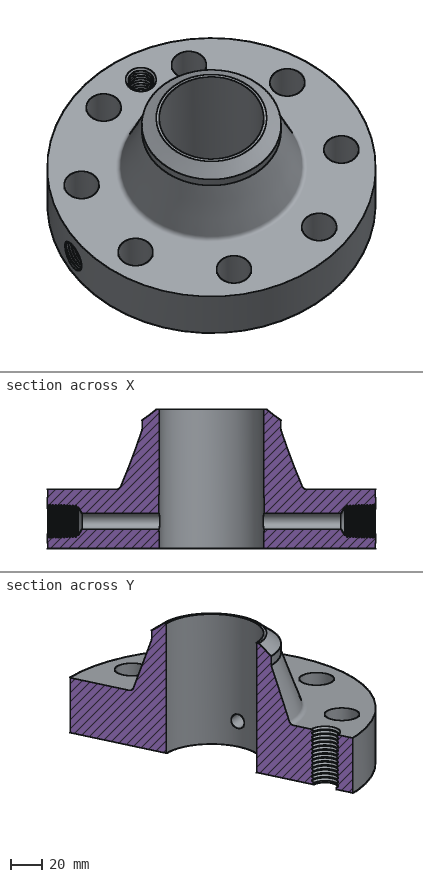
import cadquery as cq
import math

flange_diameter = 209.5
flange_thickness = 38.0

overall_height = 88.8
bore_diameter = 66.6
hub_base_diameter = 117.3
weld_end_diameter = 88.8
land_width = 1.9
bevel_height = 7.0
weld_collar_height = 6.3
hub_fillet_radius = 3.4

bolt_count = 8
bolt_circle_diameter = 168.0
bolt_hole_diameter = 22.2

jack_screw_diameter = 19.5
jack_screw_pitch = 2.7
jack_thread_depth = 1.5

tap_height = 17.4
tap_diameter = 21.4
tap_pitch = 1.82
tap_thread_depth = 1.36
tap_length = 20.0
tap_taper = 1 / 16
drill_point_angle = 118.0
passage_diameter = 9.6

flange_radius = flange_diameter / 2
bore_radius = bore_diameter / 2


def flange_blank():
    """Revolve the plate and hub about Z, with the bore open."""
    weld_end_radius = weld_end_diameter / 2
    bevel_start = overall_height - bevel_height
    blank = (
        cq.Workplane("XZ")
        .moveTo(bore_radius, 0)
        .lineTo(flange_radius, 0)
        .lineTo(flange_radius, flange_thickness)
        .lineTo(hub_base_diameter / 2, flange_thickness)
        .lineTo(weld_end_radius, bevel_start - weld_collar_height)
        .lineTo(weld_end_radius, bevel_start)
        .lineTo(bore_radius + land_width, overall_height)
        .lineTo(bore_radius, overall_height)
        .close()
        .revolve(360, (0, 0, 0), (0, 1, 0))
    )
    hub_foot = cq.selectors.RadiusNthSelector(-2)
    return blank.edges("%CIRCLE").edges(hub_foot).fillet(hub_fillet_radius)


def thread_cutter(major_diameter, thread_depth, pitch, length, taper=0.0, point_height=0.0):
    """Solid of a threaded hole running up Z from the origin, its thread made as V-shaped rings."""
    major_radius = major_diameter / 2
    turns = round(length / pitch)
    step = length / turns

    def radius_at(height, depth):
        return major_radius - taper / 2 * height - depth

    profile = [(0, 0), (radius_at(0, 0), 0)]
    for turn in range(turns):
        crest_height = (turn + 0.5) * step
        root_height = (turn + 1) * step
        profile.append((radius_at(crest_height, thread_depth), crest_height))
        profile.append((radius_at(root_height, 0), root_height))
    profile[-1] = (radius_at(length, thread_depth), length)
    profile.append((0, length + point_height))
    return cq.Workplane("XZ").polyline(profile).close().revolve(360, (0, 0, 0), (0, 1, 0))


def bolt_holes():
    """Ring of plain holes, set half a pitch off the X axis."""
    return (
        cq.Workplane("XY")
        .polarArray(bolt_circle_diameter / 2, 180 / bolt_count, 360, bolt_count)
        .circle(bolt_hole_diameter / 2)
        .extrude(flange_thickness)
    )


def jack_screw_hole():
    """Threaded through hole on the -X side of the bolt circle."""
    cutter = thread_cutter(
        jack_screw_diameter, jack_thread_depth, jack_screw_pitch, flange_thickness
    )
    return cutter.rotate((0, 0, 0), (1, 0, 0), 180).translate(
        (-bolt_circle_diameter / 2, 0, flange_thickness)
    )


def pressure_tap():
    """Tapered threaded tap entering from the -Y rim."""
    end_radius = tap_diameter / 2 - tap_taper / 2 * tap_length - tap_thread_depth
    point_height = end_radius / math.tan(math.radians(drill_point_angle / 2))
    cutter = thread_cutter(
        tap_diameter, tap_thread_depth, tap_pitch, tap_length, tap_taper, point_height
    )
    return cutter.rotate((0, 0, 0), (1, 0, 0), -90).translate((0, -flange_radius, tap_height))


def tap_passage():
    """Small hole across the plate that joins both taps to the bore."""
    return (
        cq.Workplane("XZ", origin=(0, 0, tap_height))
        .circle(passage_diameter / 2)
        .extrude(flange_radius, both=True)
    )


tap = pressure_tap()

result = (
    flange_blank()
    .cut(bolt_holes())
    .cut(jack_screw_hole())
    .cut(tap)
    .cut(tap.mirror("XZ"))
    .cut(tap_passage())
)